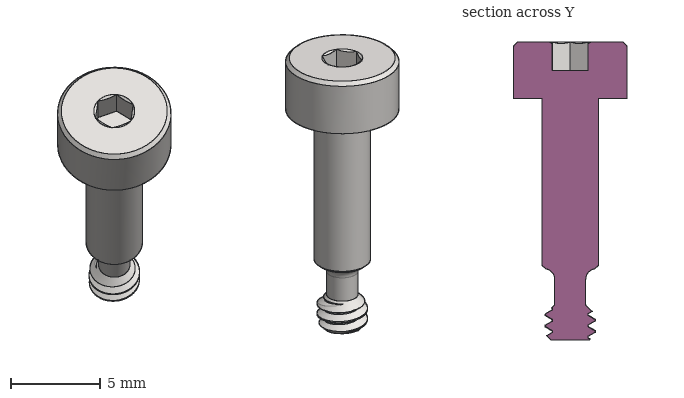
import cadquery as cq
import math

length = 16.67
head_diameter = 6.35
head_radius = head_diameter / 2
head_height = 3.17
head_chamfer = 0.22
shank_radius = head_radius / 2
shank_end_z = 4.17
shank_chamfer_radius = 1.35
shank_chamfer_height = 0.2

neck_radius = 0.88
neck_bottom_z = 1.97
neck_top_z = 3.42

thread_radius = 1.42
thread_pitch = 0.63
tip_radius = 1.07
crest_flat = thread_pitch / 8
root_flat = thread_pitch / 8
flank_half_angle = math.radians(30)
crest_z_at_minus_x = 0.8
ridge_overlap = 0.03
helix_turns = 5
turns_below_crest = 2.5
thread_depth = (thread_pitch - crest_flat - root_flat) / 2 / math.tan(flank_half_angle)
root_radius = thread_radius - thread_depth

hex_across_flats = 1.98
hex_depth = 1.58
hex_across_corners = hex_across_flats / math.cos(math.radians(30))
countersink_half_angle = math.radians(60)


def make_body():
    """Revolve the head, shank and neck, down to the top of the thread."""
    fillet_start_z = shank_end_z - shank_chamfer_height
    run = shank_chamfer_radius - neck_radius
    rise = fillet_start_z - neck_top_z
    blend_radius = (run**2 + rise**2) / (2 * run)
    sweep_angle = math.asin(rise / blend_radius)
    blend_mid = (
        neck_radius + blend_radius * (1 - math.cos(sweep_angle / 2)),
        neck_top_z + blend_radius * math.sin(sweep_angle / 2),
    )
    head_bottom_z = length - head_height
    profile = (
        cq.Workplane("XZ")
        .moveTo(0, neck_bottom_z)
        .lineTo(neck_radius, neck_bottom_z)
        .lineTo(neck_radius, neck_top_z)
        .threePointArc(blend_mid, (shank_chamfer_radius, fillet_start_z))
        .lineTo(shank_radius, shank_end_z)
        .lineTo(shank_radius, head_bottom_z)
        .lineTo(head_radius, head_bottom_z)
        .lineTo(head_radius, length - head_chamfer)
        .lineTo(head_radius - head_chamfer, length)
        .lineTo(0, length)
        .close()
    )
    return profile.revolve(360, (0, 0, 0), (0, 1, 0))


def make_thread_ridge():
    """Close helical strips into a ridge that runs out past both thread ends."""
    inner_radius = root_radius - ridge_overlap
    half_crest = crest_flat / 2
    half_base = half_crest + (thread_radius - inner_radius) * math.tan(flank_half_angle)
    section = [
        (inner_radius, -half_base),
        (thread_radius, -half_crest),
        (thread_radius, half_crest),
        (inner_radius, half_base),
    ]
    helix_height = helix_turns * thread_pitch
    helices = [
        cq.Wire.makeHelix(thread_pitch, helix_height, radius, cq.Vector(0, 0, z))
        for radius, z in section
    ]
    faces = []
    for index, helix in enumerate(helices):
        next_helix = helices[(index + 1) % len(helices)]
        faces += cq.Face.makeRuledSurface(helix, next_helix).Faces()
    for end_z in (0, helix_height):
        corners = [cq.Vector(radius, 0, z + end_z) for radius, z in section]
        faces.append(cq.Face.makeFromWires(cq.Wire.makePolygon(corners, close=True)))
    ridge = cq.Solid.makeSolid(cq.Shell.makeShell(faces))
    start_z = crest_z_at_minus_x - turns_below_crest * thread_pitch
    return cq.Workplane(ridge.translate(cq.Vector(0, 0, start_z)))


def make_thread():
    """Core and ridge, trimmed by 45 degree cones at the tip and the neck."""
    core = cq.Workplane("XY").circle(root_radius).extrude(neck_bottom_z)
    cones_meet_z = (neck_radius + neck_bottom_z - tip_radius) / 2
    envelope = (
        cq.Workplane("XZ")
        .polyline([
            (0, 0),
            (tip_radius, 0),
            (tip_radius + cones_meet_z, cones_meet_z),
            (neck_radius, neck_bottom_z),
            (0, neck_bottom_z),
        ])
        .close()
        .revolve(360, (0, 0, 0), (0, 1, 0))
    )
    ridge = make_thread_ridge().intersect(envelope)
    return core.intersect(envelope).union(ridge)


def make_socket():
    """Hexagonal pocket with corners on Y and a conical lead-in."""
    hexagon = (
        cq.Workplane("XY", origin=(0, 0, length))
        .polygon(6, hex_across_corners)
        .extrude(-hex_depth)
        .rotate((0, 0, 0), (0, 0, 1), 30)
    )
    mouth_radius = hex_across_corners / 2
    cone_depth = mouth_radius / math.tan(countersink_half_angle)
    lead_in = cq.Workplane(cq.Solid.makeCone(
        mouth_radius, 0, cone_depth, cq.Vector(0, 0, length), cq.Vector(0, 0, -1)
    ))
    return hexagon.union(lead_in)


result = make_body().union(make_thread()).cut(make_socket())